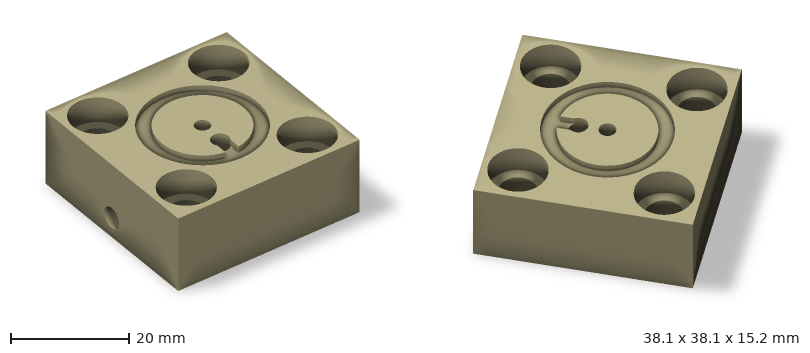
import cadquery as cq

side = 38.1
total_height = 15.25
plate_height = total_height / 2

bolt_offset = side / 3
bolt_diameter = 6.75
counterbore_diameter = 10.4
counterbore_depth = 5.15

groove_outer_diameter = 22.85
groove_inner_diameter = 17.25
groove_depth = 1.25
notch_width = 2.8

center_hole_diameter = 3.0
side_hole_diameter = 3.45
side_hole_x = 5.05

chamber_diameter = 18.55
chamber_floor = 2.55

port_z = 4.05
port_diameter = 4.2
port_depth = 6.1
passage_diameter = 2.55


def upright_cylinder(diameter, bottom, top, x=0.0, y=0.0):
    """Vertical cylinder between two heights."""
    return cq.Workplane("XY", origin=(x, y, bottom)).circle(diameter / 2).extrude(top - bottom)


def front_drilling(diameter, depth):
    """Horizontal cylinder running inward from the front face at port height."""
    return cq.Workplane("XZ", origin=(0, -side / 2, port_z)).circle(diameter / 2).extrude(-depth)


def plate(bottom):
    """Square plate with four through bolt holes."""
    body = cq.Workplane("XY", origin=(0, 0, bottom)).rect(side, side).extrude(plate_height)
    for x in (-bolt_offset, bolt_offset):
        for y in (-bolt_offset, bolt_offset):
            body = body.cut(upright_cylinder(bolt_diameter, bottom, bottom + plate_height, x, y))
    return body


def ring_groove():
    """Volume of the ring groove together with its notch."""
    floor = total_height - groove_depth
    ring = upright_cylinder(groove_outer_diameter, floor, total_height)
    ring = ring.cut(upright_cylinder(groove_inner_diameter, floor, total_height))
    notch_length = groove_inner_diameter / 2 - side_hole_x
    notch = (
        cq.Workplane("XY", origin=(side_hole_x, 0, floor))
        .box(notch_length, notch_width, groove_depth, centered=(False, True, False))
    )
    return ring.union(notch)


def make_base():
    """Lower plate: the front port leads into the round chamber."""
    body = plate(0)
    body = body.cut(upright_cylinder(chamber_diameter, chamber_floor, plate_height))
    body = body.cut(front_drilling(port_diameter, port_depth))
    return body.cut(front_drilling(passage_diameter, side / 2))


def make_cover():
    """Upper plate: counterbores, ring groove and two vertical flow holes."""
    body = plate(plate_height)
    counterbore_floor = total_height - counterbore_depth
    for x in (-bolt_offset, bolt_offset):
        for y in (-bolt_offset, bolt_offset):
            body = body.cut(upright_cylinder(counterbore_diameter, counterbore_floor, total_height, x, y))
    body = body.cut(ring_groove())
    body = body.cut(upright_cylinder(center_hole_diameter, plate_height, total_height))
    return body.cut(upright_cylinder(side_hole_diameter, plate_height, total_height, side_hole_x))


base = make_base()
cover = make_cover()
result = cq.Compound.makeCompound([base.val(), cover.val()])